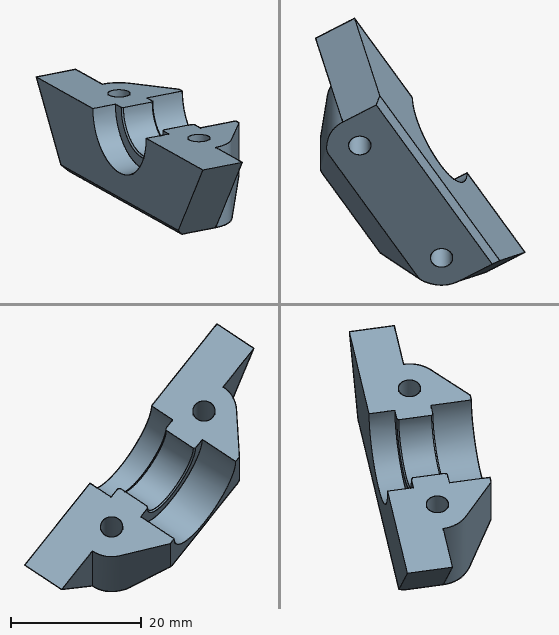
import cadquery as cq
import math

length = 50.0
depth = 15.9
height = 13.0
bottom_length = 34.0
flange_depth = 7.0
front_chamfer = 1.0
rear_chamfer = 4.0
corner_fillet = 1.0

hole_diameter = 3.4
hole_offset = 12.0
ear_radius = 5.0
rear_half_width = 9.0

bore_radius = 6.0
counterbore_radius = 8.0
front_counterbore_depth = 4.0
rear_shoulder = 9.6
bore_chamfer = 0.25


def make_flange():
    """Trapezoidal bar whose ends slope inward toward the bottom."""
    return (
        cq.Workplane("XZ")
        .polyline([
            (-length / 2, height),
            (length / 2, height),
            (bottom_length / 2, 0),
            (-bottom_length / 2, 0),
        ])
        .close()
        .extrude(-flange_depth)
    )


def make_body():
    """Upright block with rounded ears tapering tangentially to the rear face."""
    ear_side = hole_offset + ear_radius
    run = hole_offset - rear_half_width
    rise = depth - flange_depth
    corner_distance = math.hypot(run, rise)
    tangent_angle = math.atan2(rise, -run) - math.acos(ear_radius / corner_distance)

    def ear_point(angle):
        return (
            hole_offset + ear_radius * math.cos(angle),
            flange_depth + ear_radius * math.sin(angle),
        )

    def mirrored(point):
        return (-point[0], point[1])

    tangent_point = ear_point(tangent_angle)
    arc_middle = ear_point(tangent_angle / 2)
    return (
        cq.Workplane("XY")
        .moveTo(-ear_side, 0)
        .lineTo(ear_side, 0)
        .lineTo(ear_side, flange_depth)
        .threePointArc(arc_middle, tangent_point)
        .lineTo(rear_half_width, depth)
        .lineTo(-rear_half_width, depth)
        .lineTo(*mirrored(tangent_point))
        .threePointArc(mirrored(arc_middle), mirrored((ear_side, flange_depth)))
        .close()
        .extrude(height)
    )


def chamfer_cutter(edge_y, size):
    """Triangular bar removing a bottom edge at 45 degrees; signed size points inward."""
    return (
        cq.Workplane("YZ")
        .polyline([(edge_y, 0), (edge_y + size, 0), (edge_y, abs(size))])
        .close()
        .extrude(length / 2, both=True)
    )


def make_bore():
    """Bore with a counterbore at each end and chamfered shoulder edges."""
    mouth_radius = bore_radius + bore_chamfer
    return (
        cq.Workplane("XY")
        .polyline([
            (0, 0),
            (counterbore_radius, 0),
            (counterbore_radius, front_counterbore_depth),
            (mouth_radius, front_counterbore_depth),
            (bore_radius, front_counterbore_depth + bore_chamfer),
            (bore_radius, rear_shoulder - bore_chamfer),
            (mouth_radius, rear_shoulder),
            (counterbore_radius, rear_shoulder),
            (counterbore_radius, depth),
            (0, depth),
        ])
        .close()
        .revolve(360, (0, 0, 0), (0, 1, 0))
        .translate((0, 0, height))
    )


def round_rear_corners(body):
    """Round the sloping edges where the ear tapers meet the rear chamfer."""
    edge_middle_y = depth - rear_chamfer / 2
    edge_middle_z = rear_chamfer / 2
    near_middle = cq.selectors.BoxSelector(
        (-length / 2, edge_middle_y - corner_fillet, edge_middle_z - corner_fillet),
        (length / 2, edge_middle_y + corner_fillet, edge_middle_z + corner_fillet),
    )
    return body.edges(near_middle).fillet(corner_fillet)


screw_holes = (
    cq.Workplane("XY")
    .pushPoints([(-hole_offset, flange_depth), (hole_offset, flange_depth)])
    .circle(hole_diameter / 2)
    .extrude(height)
)

body = make_body().cut(chamfer_cutter(depth, -rear_chamfer))
body = round_rear_corners(body)
result = make_flange().union(body)
result = result.cut(chamfer_cutter(0, front_chamfer))
result = result.cut(make_bore()).cut(screw_holes)